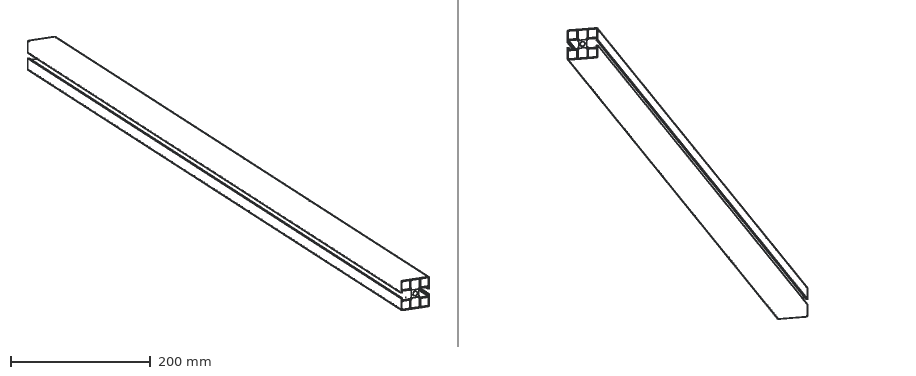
import cadquery as cq


LENGTH = 1219.2
SIZE = 45.0
HALF_SIZE = SIZE / 2
OUTER_RADIUS = 2.5

SLOT_HALF_WIDTH = 6.75
SLOT_FLOOR = 6.0
SLOT_FLOOR_RADIUS = 3.4
SLOT_OPENING_HALF_WIDTH = 4.1
LIP_THICKNESS = 2.0

WALL = 1.5
CLOSED_SLOT_RADIUS = 0.75
SLOT_WALL = 1.7
CAVITY_START = SLOT_HALF_WIDTH + SLOT_WALL
CAVITY_END = HALF_SIZE - WALL
CAVITY_RADIUS = 1.0

BORE_DIAMETER = 6.8


def bar(y_min, y_max, z_min, z_max):
    """Full-length rectangular bar between the given Y and Z limits."""
    return (
        cq.Workplane("YZ")
        .center((y_min + y_max) / 2, (z_min + z_max) / 2)
        .rect(y_max - y_min, z_max - z_min)
        .extrude(LENGTH / 2, both=True)
    )


def about_x(shape, angle):
    """Copy of a shape turned about the long axis."""
    return shape.rotate((0, 0, 0), (1, 0, 0), angle)


def slot_chamber(outer_end):
    """Wide inner part of a +Y slot, with a rounded floor next to the core."""
    chamber = bar(SLOT_FLOOR, outer_end, -SLOT_HALF_WIDTH, SLOT_HALF_WIDTH)
    return chamber.edges("|X and <Y").fillet(SLOT_FLOOR_RADIUS)


def open_slot():
    """T-slot that opens through the +Y face between two lips."""
    lip_inside = HALF_SIZE - LIP_THICKNESS
    opening = bar(lip_inside, HALF_SIZE, -SLOT_OPENING_HALF_WIDTH, SLOT_OPENING_HALF_WIDTH)
    return slot_chamber(lip_inside).union(opening)


def closed_slot():
    """Slot chamber closed by a skin, laid out towards +Y."""
    return slot_chamber(HALF_SIZE - WALL).edges("|X and >Y").fillet(CLOSED_SLOT_RADIUS)


def corner_cavity():
    """Square hollow in the +Y +Z corner of the profile."""
    cavity = bar(CAVITY_START, CAVITY_END, CAVITY_START, CAVITY_END)
    return cavity.edges("|X").fillet(CAVITY_RADIUS)


def core_bore():
    """Round hole along the whole length of the core."""
    return cq.Workplane("YZ").circle(BORE_DIAMETER / 2).extrude(LENGTH / 2, both=True)


profile = bar(-HALF_SIZE, HALF_SIZE, -HALF_SIZE, HALF_SIZE).edges("|X").fillet(OUTER_RADIUS)

for slot_angle in (0, 180):
    profile = profile.cut(about_x(open_slot(), slot_angle))
    profile = profile.cut(about_x(closed_slot(), slot_angle + 90))

for corner_angle in (0, 90, 180, 270):
    profile = profile.cut(about_x(corner_cavity(), corner_angle))

result = profile.cut(core_bore())